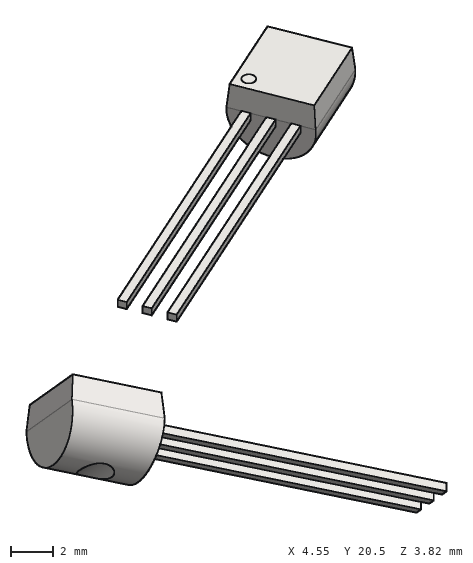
import cadquery as cq
import math

total_length = 20.45
housing_height = 3.82
round_diameter = 4.55
housing_length = 4.97
parting_height = 2.5
draft_angle = 5.0

groove_width = 1.74
groove_depth = 0.18

pin_count = 3
pin_pitch = 1.27
pin_width = 0.47
pin_thickness = 0.43

dot_diameter = 0.7
dot_inset = 0.82
dot_thickness = 0.1

round_radius = round_diameter / 2
upper_height = housing_height - parting_height
draft_slope = math.tan(math.radians(draft_angle))
pin_tip_y = housing_length / 2 - total_length
parting_half_width = math.sqrt(round_radius**2 - (parting_height - round_radius) ** 2)


def make_upper_half():
    """Rectangular block with drafted sides, above the parting line."""
    return (
        cq.Workplane("XY")
        .workplane(offset=parting_height)
        .rect(2 * parting_half_width, housing_length)
        .extrude(upper_height, taper=draft_angle)
    )


def make_lower_half():
    """Round profile along Y, trimmed to drafted end faces."""
    round_profile = (
        cq.Workplane("XZ")
        .moveTo(-parting_half_width, parting_height)
        .threePointArc((0, 0), (parting_half_width, parting_height))
        .close()
        .extrude(housing_length / 2, both=True)
    )
    half_length = housing_length / 2
    bottom_half_length = half_length - parting_height * draft_slope
    side_envelope = (
        cq.Workplane("YZ")
        .polyline([
            (-bottom_half_length, 0),
            (bottom_half_length, 0),
            (half_length, parting_height),
            (-half_length, parting_height),
        ])
        .close()
        .extrude(round_radius, both=True)
    )
    return round_profile.intersect(side_envelope)


def make_groove():
    """Circular segment running across the underside along X."""
    return (
        cq.Workplane("YZ")
        .moveTo(-groove_width / 2, 0)
        .threePointArc((0, groove_depth), (groove_width / 2, 0))
        .close()
        .extrude(round_radius, both=True)
    )


def make_dot():
    """Pin-one marking disc, flush with the top face."""
    return (
        cq.Workplane("XY")
        .workplane(offset=housing_height - dot_thickness)
        .center(dot_inset - round_radius, dot_inset - housing_length / 2)
        .circle(dot_diameter / 2)
        .extrude(dot_thickness)
    )


def make_housing(dot):
    """Both halves as one solid, with the groove and a recess for the dot."""
    return make_upper_half().union(make_lower_half()).cut(make_groove()).cut(dot)


def make_pin(x, housing):
    """Straight square-ended pin just below the parting line, butting the drafted housing face."""
    return (
        cq.Workplane("XY")
        .box(pin_width, -housing_length / 2 - pin_tip_y + pin_thickness * draft_slope,
             pin_thickness, centered=(True, False, False))
        .translate((x, pin_tip_y, parting_height - pin_thickness))
        .cut(housing)
    )


dot = make_dot()
housing = make_housing(dot)
pins = []
for index in range(pin_count):
    pin_x = (index - (pin_count - 1) / 2) * pin_pitch
    pins.append(make_pin(pin_x, housing).val())

result = cq.Compound.makeCompound([housing.val(), dot.val(), *pins])